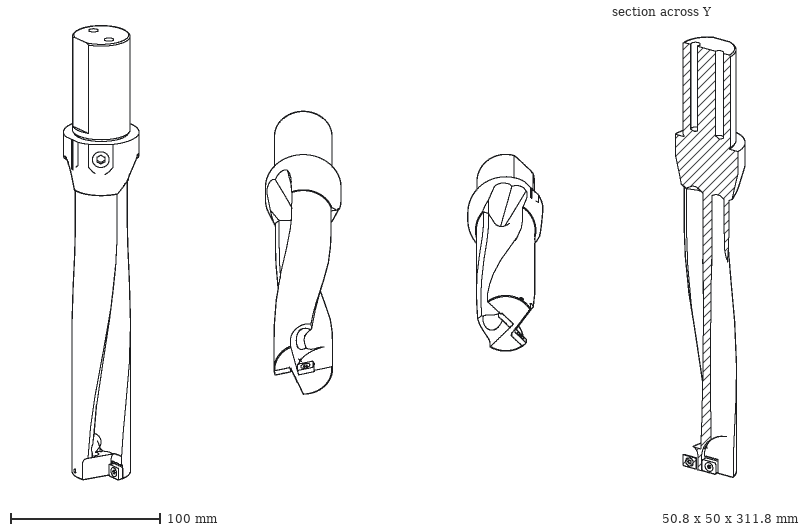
import cadquery as cq
import math

total_length = 311.8
shank_diameter = 38.7
collar_diameter = 50.8
drill_diameter = 39.3
shank_radius = shank_diameter / 2
collar_radius = collar_diameter / 2
drill_radius = drill_diameter / 2

cone_bottom = 204.5
collar_bottom = 226.5
collar_top = 242.5
shank_chamfer = 1.0
neck_height = 1.5
neck_radius = shank_radius - 1.0
cone_small_radius = 20.3
end_chamfer = 0.5

flat_distance = 17.0
flat_bottom = 248.0

coolant_hole_diameter = 6.2
coolant_hole_depth = 62.5
coolant_hole_position = (-10.3, 1.2, 0)
drill_tip_ratio = 0.6

overall_depth = 50.0
front_flat_distance = overall_depth - collar_radius
index_groove_width = 1.0
index_groove_depth = 0.3
plug_flat_distance = 24.0
plug_angle = -37.5
plug_height = 231.5
plug_diameter = 11.2
plug_length = 9.5
plug_socket_size = 6.2
plug_socket_depth = 3.0

bevel_rim = (-22.5, 2.8)
floor_start = (-16.5, -0.3)
floor_end = (-9.5, 1.5)
corner_end = (-2.5, -2.0)
wall_start = (-1.5, -9.7)
wall_rim = (-3.7, -22.5)
outer_corner = (-22.5, -22.5)
flute_twist = -75.0
twist_start = 180.8
flute_end = 16.2
twist_sections = 26
flute_closing = 14.0
flute_ball_radius = 7.5
flute_ball_position = (-3.7, 9.5, 22.8)
runout_rise = 40.5
runout_shifts = ((-26.5, -26.5), (-4.7, -43.5))

pocket_floor = 2.5
outer_pocket_height = 16.5
outer_pocket_radius = 5.5
inner_pocket_height = 28.7
inner_pocket_radius = 18.7
outer_wall_start = 4.5
outer_wall_end = 7.8
inner_wall = 4.0
seat_height = 10.0

insert_width = 11.0
insert_height = 8.5
insert_thickness = 3.5
insert_corner_radius = 1.0
outer_insert_center = 14.0
inner_insert_center = inner_wall - insert_width / 2
screw_head_diameter = 6.2
screw_shank_diameter = 3.7
screw_head_height = 2.0
screw_length = 8.0
screw_socket_diameter = 2.5
screw_socket_depth = 1.2

nozzle_diameter = 2.5
nozzle_position = (-3.7, 4.0)
nozzle_depth = 6.2

both_sides = (0, 180)


def turn_about_axis(shape, angle):
    """Shape turned about the tool axis, with the angle in degrees."""
    return shape.rotate((0, 0, 0), (0, 0, 1), angle)


def tool_blank():
    """Turned shape of the drill, cone, collar and shank."""
    outline = [
        (0, 0),
        (drill_radius - end_chamfer, 0),
        (drill_radius, end_chamfer),
        (drill_radius, cone_bottom),
        (cone_small_radius, cone_bottom),
        (collar_radius, collar_bottom),
        (collar_radius, collar_top),
        (neck_radius, collar_top),
        (shank_radius, collar_top + neck_height),
        (shank_radius, total_length - shank_chamfer),
        (shank_radius - shank_chamfer, total_length),
        (0, total_length),
    ]
    return cq.Workplane("XZ").polyline(outline).close().revolve(360, (0, 0), (0, 1))


def slab_beyond(distance, bottom, top):
    """Block on the -Y side that removes everything beyond a flat."""
    size = 2 * collar_diameter
    block = cq.Workplane("XY").box(size, size, top - bottom, centered=(True, False, False))
    return block.translate((0, -distance - size, bottom))


def index_groove():
    """Shallow groove down the middle of the front flat."""
    height = collar_top - cone_bottom
    groove = cq.Workplane("XY").box(
        index_groove_width, 2 * index_groove_depth, height, centered=(True, True, False)
    )
    return groove.translate((0, -front_flat_distance, cone_bottom))


def coolant_hole():
    """Drilled hole with a conical bottom."""
    radius = coolant_hole_diameter / 2
    outline = [
        (0, total_length),
        (radius, total_length),
        (radius, total_length - coolant_hole_depth),
        (0, total_length - coolant_hole_depth - radius * drill_tip_ratio),
    ]
    hole = cq.Workplane("XZ").polyline(outline).close().revolve(360, (0, 0), (0, 1))
    return hole.translate(coolant_hole_position)


def turned(point, angle):
    """Point turned about the axis, with the angle in degrees."""
    x, y = point
    cosine = math.cos(math.radians(angle))
    sine = math.sin(math.radians(angle))
    return (x * cosine - y * sine, x * sine + y * cosine)


def flute_section(height, turn=0.0, closing=0.0, shift=(0, 0)):
    """Closed outline of the flute, narrowed on its floor side, turned about the axis and shifted."""
    return (
        cq.Workplane("XY")
        .moveTo(*turned(bevel_rim, closing))
        .lineTo(*turned(floor_start, closing))
        .lineTo(*turned(floor_end, closing))
        .tangentArcPoint(corner_end, relative=False)
        .tangentArcPoint(wall_start, relative=False)
        .lineTo(*wall_rim)
        .lineTo(*outer_corner)
        .close()
        .val()
        .rotate(cq.Vector(0, 0, 0), cq.Vector(0, 0, 1), turn)
        .translate(cq.Vector(shift[0], shift[1], height))
    )


def twist_share(height):
    """Share of the full twist reached at a height, rising along an S-curve below twist_start."""
    depth = max(0, 1 - height / twist_start)
    return (1 - math.cos(math.pi * depth)) / 2


def twisted_flute():
    """Flute from the cone down to the pockets, straight at first and then twisting."""
    sections = []
    for step in range(twist_sections + 1):
        height = cone_bottom + (flute_end - cone_bottom) * step / twist_sections
        share = twist_share(height)
        sections.append(flute_section(height, flute_twist * share, flute_closing * share))
    return cq.Workplane(cq.Solid.makeLoft(sections))


def flute_ball():
    """Ball-shaped hollow near the lower end of the flute."""
    return cq.Workplane("XY").sphere(flute_ball_radius).translate(flute_ball_position)


def flute_runout(shift):
    """Continues the flute upward and outward through the cone, moving by shift over its rise."""
    end_height = cone_bottom + runout_rise
    sections = [flute_section(cone_bottom), flute_section(end_height, shift=shift)]
    return cq.Workplane(cq.Solid.makeLoft(sections, True))


def pocket(wall_at_rim, wall_at_floor, height, corner_radius):
    """Pocket on the +X side that opens towards -Y, with a rounded upper corner."""
    outline = [
        (wall_at_rim, -drill_radius),
        (wall_at_floor, pocket_floor),
        (drill_diameter, pocket_floor),
        (drill_diameter, -drill_radius),
    ]
    return (
        cq.Workplane("XY")
        .polyline(outline)
        .close()
        .extrude(height)
        .faces(">Z")
        .edges("<X")
        .fillet(corner_radius)
    )


def seat(center):
    """Recess in the pocket floor for an insert, with a gap above the insert."""
    depth = insert_thickness - pocket_floor
    recess = cq.Workplane("XY").box(insert_width, depth, seat_height, centered=(True, False, False))
    return recess.translate((center, pocket_floor, 0))


def insert_blank(center):
    """Solid insert with its cutting face at y = 0."""
    return (
        cq.Workplane("XZ")
        .center(center, insert_height / 2)
        .rect(insert_width, insert_height)
        .extrude(-insert_thickness)
        .edges("|Y")
        .fillet(insert_corner_radius)
    )


def screw_blank(center):
    """Countersunk screw along +Y with its head level with the cutting face."""
    outline = [
        (0, 0),
        (screw_head_diameter / 2, 0),
        (screw_shank_diameter / 2, screw_head_height),
        (screw_shank_diameter / 2, screw_length),
        (0, screw_length),
    ]
    return (
        cq.Workplane("XY")
        .polyline(outline)
        .close()
        .revolve(360, (0, 0), (0, 1))
        .translate((center, 0, insert_height / 2))
    )


def make_insert(center):
    return insert_blank(center).cut(screw_blank(center))


def make_screw(center):
    socket = (
        cq.Workplane("XZ")
        .center(center, insert_height / 2)
        .polygon(6, screw_socket_diameter)
        .extrude(-screw_socket_depth)
    )
    return screw_blank(center).cut(socket)


def plug_plane():
    """Plane on the plug flat, with its normal pointing outward."""
    angle = math.radians(plug_angle)
    outward = (math.cos(angle), math.sin(angle), 0)
    return cq.Workplane(
        cq.Plane(
            origin=(plug_flat_distance * outward[0], plug_flat_distance * outward[1], plug_height),
            xDir=(0, 0, 1),
            normal=outward,
        )
    )


def plug_blank():
    return plug_plane().circle(plug_diameter / 2).extrude(-plug_length)


def make_plug():
    socket = plug_plane().polygon(6, plug_socket_size).extrude(-plug_socket_depth)
    return plug_blank().cut(socket)


def nozzle():
    """Small blind coolant outlet in the side of the drill."""
    return (
        cq.Workplane("XZ", origin=(0, -drill_radius, 0))
        .center(*nozzle_position)
        .circle(nozzle_diameter / 2)
        .extrude(-nozzle_depth)
    )


outer_pocket = pocket(outer_wall_start, outer_wall_end, outer_pocket_height, outer_pocket_radius)
inner_pocket = pocket(-inner_wall, -inner_wall, inner_pocket_height, inner_pocket_radius)
insert_places = [
    (outer_insert_center, outer_pocket, 0),
    (-inner_insert_center, inner_pocket, 180),
]


def make_body():
    body = tool_blank()
    body = body.cut(slab_beyond(flat_distance, flat_bottom, total_length))
    body = body.cut(slab_beyond(front_flat_distance, cone_bottom, collar_top))
    plug_flat = slab_beyond(plug_flat_distance, cone_bottom, collar_top)
    body = body.cut(turn_about_axis(plug_flat, plug_angle + 90))
    body = body.cut(index_groove())
    for angle in both_sides:
        body = body.cut(turn_about_axis(coolant_hole(), angle))
        body = body.cut(turn_about_axis(twisted_flute(), angle))
        body = body.cut(turn_about_axis(flute_ball(), angle))
        for shift in runout_shifts:
            body = body.cut(turn_about_axis(flute_runout(shift), angle))
    for center, pocket_shape, angle in insert_places:
        for hollow in (pocket_shape, seat(center), screw_blank(center)):
            body = body.cut(turn_about_axis(hollow, angle))
    return body.cut(nozzle()).cut(plug_blank())


drill_body = make_body()
plug = make_plug()
inserts = [turn_about_axis(make_insert(center), angle) for center, _, angle in insert_places]
screws = [turn_about_axis(make_screw(center), angle) for center, _, angle in insert_places]

result = cq.Compound.makeCompound(
    [drill_body.val(), plug.val()] + [part.val() for part in inserts + screws]
)